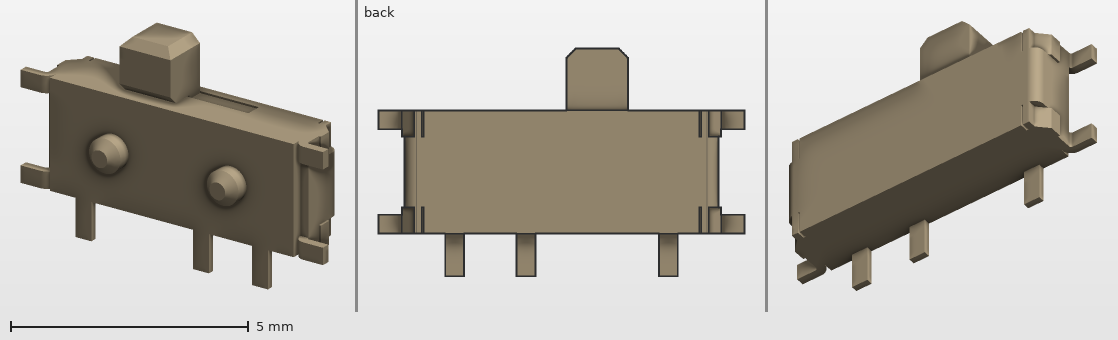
import cadquery as cq


span = 7.7
body_width = 6.21
body_depth = 1.4
body_height = 2.595
top_z = body_height / 2
half_width = body_width / 2

sheet = 0.2
bend_outer = 0.255
bend_inner = bend_outer - sheet
corner_radius = 0.25
cover_end = half_width + sheet
lug_height = 0.4

tab_height = 0.555
slit_width = 0.05
slit_inset = 0.185
slit_depth = sheet

tab_end = 3.36
tab_front = 0.65
tab_chamfer = tab_end - half_width
tab_back = body_depth - sheet

knob_width = 1.3
knob_left = -1.4
knob_front = 0.1
knob_back = body_depth - sheet
knob_rise = 1.3
knob_gap = 0.05
knob_chamfer = 0.2
slot_front = 0.81
slot_depth = 0.05

peg_spacing = 3.0
peg_radius = 0.4
peg_length = 0.5
peg_chamfer = 0.2

pin_positions = (-2.25, 0.75, 2.25)
pin_width = 0.4
pin_thickness = 0.155
pin_length = 0.9


def block(x_range, y_range, z_range):
    """Axis-aligned box given by its limits."""
    limits = (x_range, y_range, z_range)
    sizes = [high - low for low, high in limits]
    corner = tuple(low for low, high in limits)
    return cq.Workplane("XY").box(*sizes, centered=False).translate(corner)


def upright(profile, bottom, height):
    """Extrude a closed XY profile upwards from the given Z."""
    return profile.extrude(height).translate((0, 0, bottom))


def on_both_ends(solid):
    """The solid together with its mirror image on the other end."""
    return solid.union(solid.mirror("YZ"))


def on_four_corners(solid):
    """The solid repeated at top and bottom of both ends."""
    return on_both_ends(solid.union(solid.mirror("XY")))


def make_covered_body():
    """Body with the cover end plates on it and the back corners rounded."""
    envelope = block((-cover_end, cover_end), (bend_outer, body_depth), (-top_z, top_z))
    envelope = envelope.edges("|Z and >Y").fillet(corner_radius)
    mounting_step = block((-half_width, half_width), (0, bend_outer), (-top_z, top_z))
    return envelope.union(mounting_step)


def make_tab_openings():
    """Cover cleared at the back corners, with a slit beside each one."""
    clearance = block((half_width, cover_end), (tab_front, body_depth), (top_z - tab_height, top_z))
    slit_x = half_width - slit_inset
    slit = block(
        (slit_x - slit_width / 2, slit_x + slit_width / 2),
        (body_depth - slit_depth, body_depth),
        (top_z - tab_height, top_z),
    )
    return on_four_corners(clearance.union(slit))


def make_tabs():
    profile = cq.Workplane("XY").polyline([
        (half_width, tab_front),
        (tab_end, tab_front),
        (tab_end, tab_back - tab_chamfer),
        (half_width, tab_back),
    ]).close()
    return on_four_corners(upright(profile, top_z - tab_height, tab_height))


def make_lugs():
    """Solder lugs bent outwards from the end plates, flush with the mounting face."""
    bend_x = half_width + bend_outer
    profile = (
        cq.Workplane("XY")
        .moveTo(span / 2, 0)
        .lineTo(bend_x, 0)
        .radiusArc((half_width, bend_outer), bend_outer)
        .lineTo(cover_end, bend_outer)
        .radiusArc((bend_x, sheet), -bend_inner)
        .lineTo(span / 2, sheet)
        .close()
    )
    return on_four_corners(upright(profile, top_z - lug_height, lug_height))


def make_slot():
    """Travel slot for the knob stem in the top face."""
    return block((knob_left, -knob_left), (slot_front, knob_back), (top_z - slot_depth, top_z))


def make_knob():
    knob_right = knob_left + knob_width
    head_bottom = top_z + knob_gap
    head = block((knob_left, knob_right), (knob_front, knob_back), (head_bottom, top_z + knob_rise))
    head = head.faces(">Z").edges("<X or >X or <Y").chamfer(knob_chamfer)
    head = head.faces("<Z").edges("<Y").chamfer(knob_chamfer)
    stem = block((knob_left, knob_right), (slot_front, knob_back), (top_z - slot_depth, head_bottom))
    return head.union(stem)


def make_pegs():
    peg = cq.Workplane("XZ").circle(peg_radius).extrude(peg_length)
    peg = peg.faces("<Y").chamfer(peg_chamfer)
    return on_both_ends(peg.translate((peg_spacing / 2, 0, 0)))


def make_pin(x):
    return block(
        (x - pin_width / 2, x + pin_width / 2),
        (0, pin_thickness),
        (-top_z - pin_length, -top_z),
    )


result = make_covered_body().cut(make_tab_openings())
result = result.union(make_tabs()).union(make_lugs())
result = result.cut(make_slot()).union(make_knob()).union(make_pegs())
for pin_x in pin_positions:
    result = result.union(make_pin(pin_x))